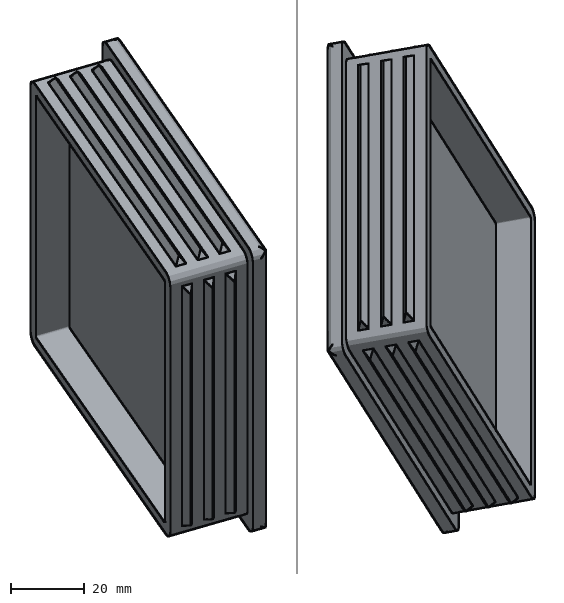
import cadquery as cq

rim_size = 100.0
rim_thickness = 5.0
rim_round = 3.0

total_depth = 28.0
plug_size = 93.0
plug_corner_radius = 3.0
wall_thickness = 3.6
pocket_depth = 10.0
pocket_corner_radius = 0.5

rib_count = 3
rib_pitch = 6.5
rib_length = 85.0
rib_width = 3.0
rib_height = 2.4
rib_overlap = 0.5

back_y = total_depth / 2
open_y = -total_depth / 2
rim_front_y = back_y - rim_thickness


def square_block(size, start_y, end_y):
    """Square block centred in X and Z, reaching from start_y to end_y."""
    depth = end_y - start_y
    return cq.Workplane("XY").box(size, depth, size).translate((0, start_y + depth / 2, 0))


def make_rim():
    """Plate whose rounded back edges meet in mitres, trimmed by rounded corners."""
    plate = square_block(rim_size, rim_front_y, back_y)
    rounded_back = plate.faces(">Y").edges().fillet(rim_round)
    rounded_corners = plate.edges("|Y").fillet(rim_round)
    return rounded_back.intersect(rounded_corners)


def make_plug():
    """Square plug with rounded corners and a flat-bottomed pocket in its open end."""
    plug = square_block(plug_size, open_y, rim_front_y).edges("|Y").fillet(plug_corner_radius)
    pocket = square_block(plug_size - 2 * wall_thickness, open_y, open_y + pocket_depth)
    return plug.cut(pocket.edges("|Y").fillet(pocket_corner_radius))


def wedge_profile(plane, base_width, ridge_width):
    """Sketch on the top wall that narrows from the base width to the ridge width."""
    wall_z = plug_size / 2
    ridge_z = wall_z + rib_height
    half_base = base_width / 2
    half_ridge = ridge_width / 2
    profile = cq.Workplane(plane).moveTo(-half_base, wall_z - rib_overlap).lineTo(-half_base, wall_z)
    profile = profile.lineTo(-half_ridge, ridge_z)
    if ridge_width > 0:
        profile = profile.lineTo(half_ridge, ridge_z)
    return profile.lineTo(half_base, wall_z).lineTo(half_base, wall_z - rib_overlap).close()


def make_rib():
    """Rib on the top wall at Y = 0: a long ridge with ends that slope like its sides."""
    cross_section = wedge_profile("YZ", rib_width, 0).extrude(rib_length, both=True)
    sloped_ends = wedge_profile("XZ", rib_length, rib_length - rib_width).extrude(rib_width, both=True)
    return cross_section.intersect(sloped_ends)


def add_ribs(body):
    """Join evenly spaced ribs to all four walls, centred between the plug's ends."""
    rib = make_rib()
    middle_y = (rim_front_y + open_y) / 2
    for row in range(rib_count):
        rib_y = middle_y + (row - (rib_count - 1) / 2) * rib_pitch
        for angle in (0, 90, 180, 270):
            body = body.union(rib.translate((0, rib_y, 0)).rotate((0, 0, 0), (0, 1, 0), angle))
    return body


result = add_ribs(make_rim().union(make_plug()))